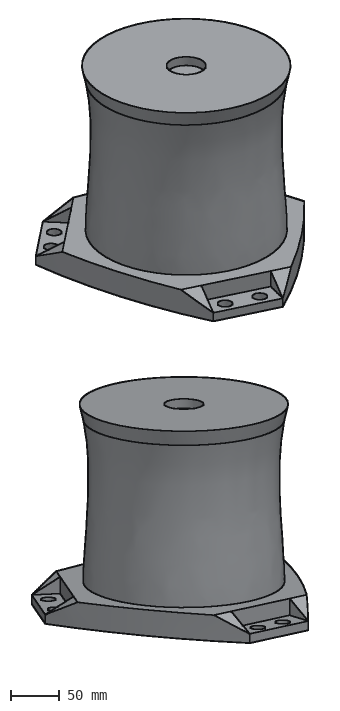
import cadquery as cq
import math

PAD_DISTANCE = 152.0
PAD_WIDTH = 78.8
PAD_THICKNESS = 10.0
PAD_INNER = 122.5
PLATE_THICKNESS = 28.0
SIDE_REACH = 119.5

HOLE_DIAMETER = 15.5
HOLE_DISTANCE = 138.0
HOLE_SPACING = {0: 39.5, 120: 39.5, 240: 33.3}

HEIGHT = 217.0
LID_THICKNESS = 16.0
LID_BOTTOM = HEIGHT - LID_THICKNESS
BOTTOM_RADIUS = 104.0
LOWER_RADIUS = 100.3
LOWER_HEIGHT = 94.0
WAIST_RADIUS = 98.8
WAIST_HEIGHT = 153.3
TOP_RADIUS = 107.5
RECESS_DIAMETER = 40.5
RECESS_DEPTH = 10.0


def polar(radius, angle):
    """Point in the XY plane at a radius and an angle in degrees."""
    return radius * math.cos(math.radians(angle)), radius * math.sin(math.radians(angle))


def plate_blank():
    """Plate with three straight pad edges joined by bowed sides."""
    corner_radius = math.hypot(PAD_DISTANCE, PAD_WIDTH / 2)
    corner_angle = math.degrees(math.atan2(PAD_WIDTH / 2, PAD_DISTANCE))
    outline = cq.Workplane("XY").moveTo(*polar(corner_radius, -corner_angle))
    for angle in HOLE_SPACING:
        outline = outline.lineTo(*polar(corner_radius, angle + corner_angle))
        outline = outline.threePointArc(
            polar(SIDE_REACH, angle + 60),
            polar(corner_radius, angle + 120 - corner_angle),
        )
    return outline.close().extrude(PLATE_THICKNESS)


def edge_slope():
    """Wedge that slopes the plate from the pad's inner wall down to its outer edge."""
    return (
        cq.Workplane("XZ")
        .polyline([
            (PAD_INNER, PLATE_THICKNESS),
            (PAD_DISTANCE, PLATE_THICKNESS),
            (PAD_DISTANCE, PAD_THICKNESS),
        ])
        .close()
        .extrude(PAD_DISTANCE, both=True)
    )


def pad_pocket():
    """Straight-walled pocket above a mounting pad, open to the outside."""
    return cq.Workplane("XY").box(
        PAD_DISTANCE - PAD_INNER, PAD_WIDTH, PLATE_THICKNESS - PAD_THICKNESS,
        centered=(False, True, False),
    ).translate((PAD_INNER, 0, PAD_THICKNESS))


def pad_holes(spacing):
    """Two through holes in a mounting pad."""
    return (
        cq.Workplane("XY")
        .pushPoints([(HOLE_DISTANCE, -spacing / 2), (HOLE_DISTANCE, spacing / 2)])
        .circle(HOLE_DIAMETER / 2)
        .extrude(PLATE_THICKNESS)
    )


def make_plate():
    plate = plate_blank()
    for angle, spacing in HOLE_SPACING.items():
        for cutter in (edge_slope(), pad_pocket(), pad_holes(spacing)):
            plate = plate.cut(cutter.rotate((0, 0, 0), (0, 0, 1), angle))
    return plate


def waisted_column():
    """Full column above the plate, whose flared side runs on through the lid."""
    return (
        cq.Workplane("XZ")
        .moveTo(0, PLATE_THICKNESS)
        .lineTo(BOTTOM_RADIUS, PLATE_THICKNESS)
        .spline(
            [(LOWER_RADIUS, LOWER_HEIGHT), (WAIST_RADIUS, WAIST_HEIGHT), (TOP_RADIUS, HEIGHT)],
            includeCurrent=True,
        )
        .lineTo(0, HEIGHT)
        .close()
        .revolve(360, (0, 0, 0), (0, 1, 0))
    )


def lid_space():
    """Cylinder wider than the column, covering the height of the lid."""
    return cq.Workplane("XY").workplane(offset=LID_BOTTOM).circle(2 * TOP_RADIUS).extrude(LID_THICKNESS)


def make_housing():
    """Base plate with the drum standing on it."""
    return make_plate().union(waisted_column().cut(lid_space()))


def make_lid():
    """Flared disc with a blind round recess in its top."""
    recess = (
        cq.Workplane("XY")
        .workplane(offset=HEIGHT - RECESS_DEPTH)
        .circle(RECESS_DIAMETER / 2)
        .extrude(RECESS_DEPTH)
    )
    return waisted_column().intersect(lid_space()).cut(recess)


housing = make_housing()
lid = make_lid()
result = cq.Compound.makeCompound([housing.val(), lid.val()])